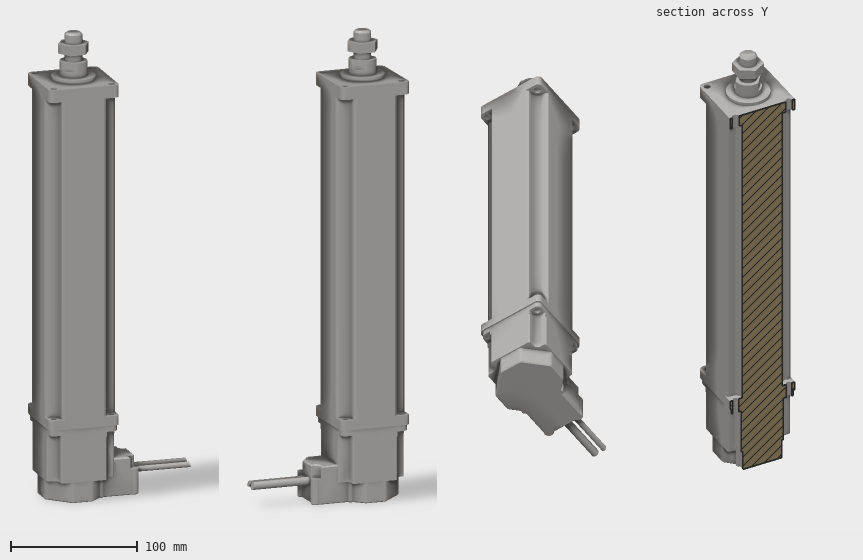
import cadquery as cq
import math

TOTAL_HEIGHT = 377.5

COVER_TOP = 17.0
MOTOR_RELIEF_TOP = 52.0
MOTOR_FLANGE_BOTTOM = 56.2
REAR_FLANGE_BOTTOM = 61.0
REAR_FLANGE_TOP = 69.0
FRONT_FLANGE_BOTTOM = 329.0
FRONT_FLANGE_TOP = 339.5
BOSS_TOP = 342.5

FLANGE_WIDTH = 58.0
CORNER_RADIUS = 8.0 / 2
HOLE_OFFSET = 23.8
FRONT_HOLE_DIAMETER = 5.5
REAR_HOLE_DIAMETER = 4.5
BOSS_DIAMETER = 35.0

CYLINDER_GROOVE_WALL = 18.0
CYLINDER_GROOVE_RADIUS = 6.0
CYLINDER_GROOVE_CHAMFER = 2.0

MOTOR_WIDTH = 56.0
MOTOR_GROOVE_WALL = 19.0
MOTOR_GROOVE_RADIUS = 4.5
MOTOR_GROOVE_CHAMFER = 1.0

COVER_WIDTH = 54.0
COVER_FLAT = 19.0
COVER_SIDE_END = 7.5
COVER_EDGE_RADIUS = 3.5
NECK_COLUMN_DIAMETER = 4.5
COVER_BOTTOM_CHAMFER = 0.8

BLOCK_WIDTH = 35.0
BLOCK_BACK = 47.0
BLOCK_TOP = 31.0
BLOCK_CHAMFER = 1.0
EAR_TOP = 20.8
EAR_DIAMETER = 8.0
EAR_X = 14.0
EAR_Y = 45.3
EAR_RELIEF_DIAMETER = 9.0

CABLE_END = 95.5
CABLE_Z = 17.0
CABLE_SLANT = 1.5
CABLE_X = 4.0
POWER_CABLE_DIAMETER = 6.5
SIGNAL_CABLE_DIAMETER = 4.5

ROD_DIAMETER = 22.0
ROD_SHOULDER = 354.5
THREAD_DIAMETER = 14.0
THREAD_CHAMFER = 1.5
WRENCH_FLAT_BOTTOM = 347.0
WRENCH_FLAT_DISTANCE = 9.0
WRENCH_FLAT_ANGLE = -37.0
NUT_WIDTH = 22.0
NUT_BOTTOM = 361.0
NUT_TOP = 369.0

CLEARANCE = 3.8
EDGE_MARGIN = 0.5


def prism(width, bottom, top):
    """Square prism on the Z axis."""
    return cq.Workplane("XY").workplane(offset=bottom).rect(width, width).extrude(top - bottom)


def cylinder(diameter, bottom, top, x=0, y=0):
    """Upright cylinder between two levels."""
    base = cq.Workplane("XY").workplane(offset=bottom).center(x, y)
    return base.circle(diameter / 2).extrude(top - bottom)


def block(width, front, back, bottom, top):
    """Box centred on X, between two Y positions and two levels."""
    base = cq.Workplane("XY").box(width, back - front, top - bottom, centered=(True, False, False))
    return base.translate((0, front, bottom))


def groove_cutters(width, wall, radius, chamfer, bottom, top):
    """Four corner cutters with a concave arc inside and a 45-degree chamfer at each mouth."""
    mouth = width / 2 - chamfer
    outside = width / 2 + CLEARANCE
    flare = wall - (outside - mouth)
    arc_end = wall + radius
    arc_middle = arc_end - radius * math.sqrt(0.5)
    groove = (
        cq.Workplane("XY").workplane(offset=bottom)
        .moveTo(arc_end, wall)
        .lineTo(mouth, wall)
        .lineTo(outside, flare)
        .lineTo(outside, outside)
        .lineTo(flare, outside)
        .lineTo(wall, mouth)
        .lineTo(wall, arc_end)
        .threePointArc((arc_middle, arc_middle), (arc_end, wall))
        .close()
        .extrude(top - bottom)
    )
    return [groove.rotate((0, 0, 0), (0, 0, 1), 90 * turn) for turn in range(4)]


def corner_holes(diameter, bottom, top):
    """Four bolt-hole cutters near the flange corners."""
    return [
        cylinder(diameter, bottom, top, x, y)
        for x in (-HOLE_OFFSET, HOLE_OFFSET)
        for y in (-HOLE_OFFSET, HOLE_OFFSET)
    ]


def add_back_and_ears(body, front, bottom, top):
    """Add the back face between the ears, and the two round ears."""
    body = body.union(block(2 * EAR_X, front, BLOCK_BACK, bottom, top))
    for x in (-EAR_X, EAR_X):
        body = body.union(cylinder(EAR_DIAMETER, bottom, top, x, EAR_Y))
    return body


def make_cylinder_tube():
    """Square cylinder with flanges, corner grooves, bolt holes and front boss."""
    tube = prism(FLANGE_WIDTH, REAR_FLANGE_BOTTOM, FRONT_FLANGE_TOP)
    tube = tube.edges("|Z").fillet(CORNER_RADIUS)
    for cutter in groove_cutters(
        FLANGE_WIDTH, CYLINDER_GROOVE_WALL, CYLINDER_GROOVE_RADIUS, CYLINDER_GROOVE_CHAMFER,
        REAR_FLANGE_TOP, FRONT_FLANGE_BOTTOM,
    ):
        tube = tube.cut(cutter)
    for hole in corner_holes(FRONT_HOLE_DIAMETER, FRONT_FLANGE_BOTTOM, FRONT_FLANGE_TOP):
        tube = tube.cut(hole)
    return tube.union(cylinder(BOSS_DIAMETER, FRONT_FLANGE_TOP, BOSS_TOP))


def make_motor():
    """Motor block with a full-width flange and grooved corners below it."""
    motor = prism(MOTOR_WIDTH, COVER_TOP, REAR_FLANGE_BOTTOM).edges("|Z").fillet(CORNER_RADIUS)
    grooves = groove_cutters(
        MOTOR_WIDTH, MOTOR_GROOVE_WALL, MOTOR_GROOVE_RADIUS, MOTOR_GROOVE_CHAMFER,
        COVER_TOP, MOTOR_RELIEF_TOP,
    )
    grooves += groove_cutters(
        MOTOR_WIDTH, MOTOR_GROOVE_WALL, MOTOR_GROOVE_RADIUS, 0,
        MOTOR_RELIEF_TOP, MOTOR_FLANGE_BOTTOM,
    )
    for cutter in grooves:
        motor = motor.cut(cutter)
    return motor


def make_end_cover():
    """Chamfered cover under the motor, narrowing to the connector block, with neck columns and two ears."""
    side = COVER_WIDTH / 2
    flat = COVER_FLAT / 2
    neck = BLOCK_WIDTH / 2
    neck_y = COVER_SIDE_END + side - neck
    half = [(flat, -side), (side, -flat), (side, COVER_SIDE_END), (neck, neck_y), (neck, EAR_Y)]
    outline = half + [(-x, y) for x, y in reversed(half)]
    cover = cq.Workplane("XY").polyline(outline).close().extrude(COVER_TOP)
    side_corners = cq.selectors.BoxSelector(
        (-COVER_WIDTH, -COVER_WIDTH, 0),
        (COVER_WIDTH, COVER_SIDE_END + EDGE_MARGIN, COVER_TOP),
    )
    cover = cover.edges("|Z").edges(side_corners).fillet(COVER_EDGE_RADIUS)
    for x in (-neck, neck):
        cover = cover.union(cylinder(NECK_COLUMN_DIAMETER, 0, COVER_TOP, x, neck_y))
    cover = add_back_and_ears(cover, neck_y, 0, COVER_TOP)
    return cover.faces("<Z").edges().chamfer(COVER_BOTTOM_CHAMFER)


def make_connector_block():
    """Block above the cover, with corners relieved above the ears."""
    front = MOTOR_WIDTH / 2
    upper = block(BLOCK_WIDTH, front, BLOCK_BACK, EAR_TOP, BLOCK_TOP)
    for x in (-EAR_X, EAR_X):
        upper = upper.cut(cylinder(EAR_RELIEF_DIAMETER, EAR_TOP, BLOCK_TOP, x, EAR_Y))
    exposed_edges = cq.selectors.BoxSelector(
        (-BLOCK_WIDTH, front + EDGE_MARGIN, EAR_TOP + EDGE_MARGIN),
        (BLOCK_WIDTH, BLOCK_BACK + EDGE_MARGIN, BLOCK_TOP + EDGE_MARGIN),
    )
    upper = upper.edges(exposed_edges).chamfer(BLOCK_CHAMFER)
    lower = block(BLOCK_WIDTH, front, EAR_Y, COVER_TOP, EAR_TOP)
    lower = add_back_and_ears(lower, front, COVER_TOP, EAR_TOP)
    return upper.union(lower)


def make_cable(x, diameter):
    """Cable leaving the back of the block, its end cut at a slant."""
    root = BLOCK_BACK - CLEARANCE
    bottom = CABLE_Z - diameter / 2
    top = CABLE_Z + diameter / 2
    cable = cq.Workplane("XZ", origin=(x, root, CABLE_Z)).circle(diameter / 2).extrude(root - CABLE_END)
    side_profile = [(root, bottom), (CABLE_END, bottom), (CABLE_END - CABLE_SLANT, top), (root, top)]
    slanted = cq.Workplane("YZ", origin=(x, 0, 0)).polyline(side_profile).close()
    return cable.intersect(slanted.extrude(diameter, both=True))


def make_actuator():
    """Cylinder, motor, cover, connector block and cables as one solid."""
    actuator = make_cylinder_tube().union(make_motor())
    for hole in corner_holes(REAR_HOLE_DIAMETER, MOTOR_FLANGE_BOTTOM, REAR_FLANGE_TOP):
        actuator = actuator.cut(hole)
    actuator = actuator.union(make_end_cover()).union(make_connector_block())
    actuator = actuator.union(make_cable(-CABLE_X, POWER_CABLE_DIAMETER))
    return actuator.union(make_cable(CABLE_X, SIGNAL_CABLE_DIAMETER))


def make_rod():
    """Rod end with two wrench flats, a threaded tip and its hexagon nut."""
    collar = cylinder(ROD_DIAMETER, BOSS_TOP, ROD_SHOULDER)
    flat_height = ROD_SHOULDER - WRENCH_FLAT_BOTTOM
    flat_cutter = cq.Workplane("XY").box(
        ROD_DIAMETER, ROD_DIAMETER, flat_height, centered=(False, True, False))
    flat_cutter = flat_cutter.translate((WRENCH_FLAT_DISTANCE, 0, WRENCH_FLAT_BOTTOM))
    for angle in (WRENCH_FLAT_ANGLE, WRENCH_FLAT_ANGLE + 180):
        collar = collar.cut(flat_cutter.rotate((0, 0, 0), (0, 0, 1), angle))
    thread = cylinder(THREAD_DIAMETER, ROD_SHOULDER, TOTAL_HEIGHT)
    thread = thread.faces(">Z").chamfer(THREAD_CHAMFER)
    nut_corners = NUT_WIDTH / math.cos(math.radians(30))
    nut = cq.Workplane("XY").workplane(offset=NUT_BOTTOM).polygon(6, nut_corners)
    nut = nut.extrude(NUT_TOP - NUT_BOTTOM).rotate((0, 0, 0), (0, 0, 1), 30)
    return collar.union(thread).union(nut)


actuator = make_actuator()
rod = make_rod()
result = cq.Compound.makeCompound([actuator.val(), rod.val()])